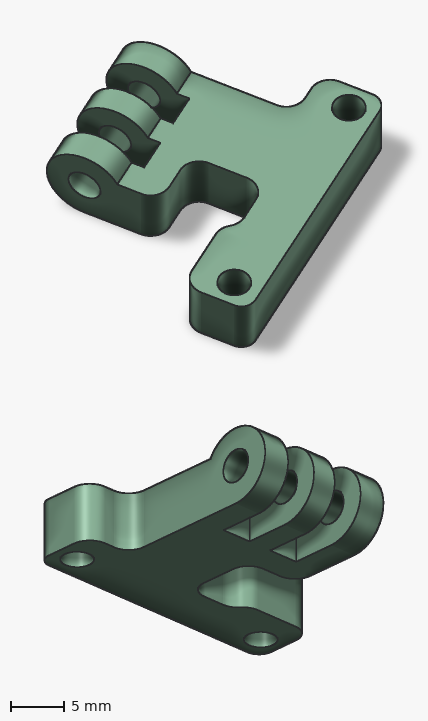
import cadquery as cq
import math

length_y = 29.0
plate_thickness = 6.0
knuckle_radius = 4.0
back_x = 21.5
half_length = length_y / 2

corner_radius = 2.0
back_corner_radius = 1.5

arm_width = 7.0
arm_x = back_x - arm_width
screw_hole_diameter = 3.2
screw_back_inset = 2.75
screw_end_inset = 2.5

hinge_width = 15.5
hinge_center_y = 1.5
hinge_top_y = hinge_center_y + hinge_width / 2
hinge_bottom_y = hinge_center_y - hinge_width / 2
middle_knuckle_width = 2.7
slot_width = 3.4
slot_end_x = 4.78
pin_diameter = 3.4

recess_width = 8.0
recess_back_x = back_x - 5.5
recess_front_x = recess_back_x - recess_width
recess_top_y = 0.0

step_bottom_y = -7.5
step_depth = recess_back_x - arm_x
step_height = math.sqrt((2 * corner_radius) ** 2 - (2 * corner_radius - step_depth) ** 2)
step_top_y = step_bottom_y + step_height
step_middle = (arm_x + step_depth / 2, step_bottom_y + step_height / 2)


def make_plate():
    """Flat body, from the hinge axis to the back edge; every arc is tangent to its neighbours."""
    r = corner_radius
    b = back_corner_radius
    outline = (
        cq.Workplane("XY")
        .moveTo(0, hinge_top_y)
        .lineTo(arm_x - r, hinge_top_y)
        .tangentArcPoint((arm_x, hinge_top_y + r), relative=False)
        .lineTo(arm_x, half_length - r)
        .tangentArcPoint((arm_x + r, half_length), relative=False)
        .lineTo(back_x - b, half_length)
        .tangentArcPoint((back_x, half_length - b), relative=False)
        .lineTo(back_x, b - half_length)
        .tangentArcPoint((back_x - b, -half_length), relative=False)
        .lineTo(arm_x + r, -half_length)
        .tangentArcPoint((arm_x, r - half_length), relative=False)
        .lineTo(arm_x, step_bottom_y)
        .tangentArcPoint(step_middle, relative=False)
        .tangentArcPoint((recess_back_x, step_top_y), relative=False)
        .lineTo(recess_back_x, recess_top_y - r)
        .tangentArcPoint((recess_back_x - r, recess_top_y), relative=False)
        .lineTo(recess_front_x + r, recess_top_y)
        .tangentArcPoint((recess_front_x, recess_top_y - r), relative=False)
        .lineTo(recess_front_x, hinge_bottom_y + r)
        .tangentArcPoint((recess_front_x - r, hinge_bottom_y), relative=False)
        .lineTo(0, hinge_bottom_y)
        .close()
    )
    return outline.extrude(plate_thickness)


def cylinder_on_hinge_axis(radius):
    """Cylinder along the hinge axis, as wide as the hinge."""
    return (
        cq.Workplane("XZ", origin=(0, hinge_top_y, knuckle_radius))
        .circle(radius)
        .extrude(hinge_width)
    )


def make_slots():
    """The two gaps between the knuckles, cut through the full height."""
    slot_length = knuckle_radius + slot_end_x
    offset = (middle_knuckle_width + slot_width) / 2
    return (
        cq.Workplane("XY")
        .pushPoints([(slot_end_x - slot_length / 2, hinge_center_y + side * offset) for side in (-1, 1)])
        .rect(slot_length, slot_width)
        .extrude(2 * knuckle_radius)
    )


def make_screw_holes():
    """Through holes at the ends of the two arms."""
    hole_x = back_x - screw_back_inset
    hole_y = half_length - screw_end_inset
    return (
        cq.Workplane("XY")
        .pushPoints([(hole_x, -hole_y), (hole_x, hole_y)])
        .circle(screw_hole_diameter / 2)
        .extrude(plate_thickness)
    )


result = (
    make_plate()
    .union(cylinder_on_hinge_axis(knuckle_radius))
    .cut(make_slots())
    .cut(cylinder_on_hinge_axis(pin_diameter / 2))
    .cut(make_screw_holes())
)